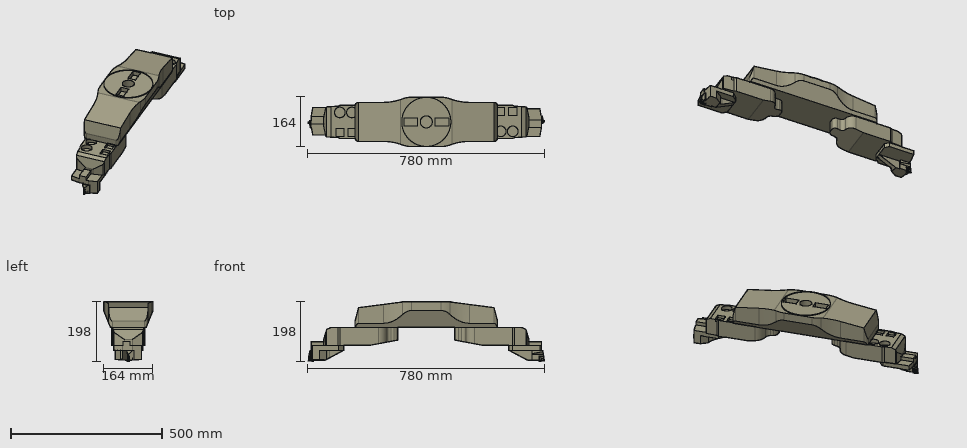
import cadquery as cq
import math


bridge_half_length = 235.5
bridge_top = 83.5
arm_half_width = 65.0
hub_half_width = 82.0
hub_flat_x = 48.0
flare_joint_x = 79.0
flare_x = 142.0
fold_x = 85.0
end_wall_height = 21.0
end_top_x = 224.0
end_top_z = 65.5
corner_radius = 12.0
bevel_foot_half_width = 59.0
bevel_angle = 22

disk_diameter = 162.0
disk_height = 2.0
bore_diameter = 40.0
bore_depth = 31.0
key_slot_inner_x = 29.0
key_slot_length = 45.0
key_slot_width = 27.0
key_slot_depth = 15.5

slider_bottom = -59.0
slider_half_width = 55.0
nose_half_width = 52.0
tongue_half_width = 19.5
tongue_tip_x = 93.5
tongue_corner_radius = 13.0
tongue_root_x = 116.0
shoulder_joint_x = 130.0
shoulder_x = 158.0
step_inner_x = 285.0
step_outer_x = 292.0
nose_corner_x = 329.0
nose_corner_y = 50.0
nose_facet_x = 332.0
nose_facet_y = 47.0
nose_tip_x = 339.0
nose_tip_half_width = 13.0
nose_tip_z = -40.0
chamfer_x = 315.0
chamfer_drop = 6.0
underside_break_x = 185.0
tongue_bottom = -42.0

socket_x = 285.5
socket_pitch = 40.0
round_socket_diameter = 35.0
round_socket_y = -31.0
square_socket_size = 26.5
square_socket_y = 35.0
round_socket_depth = 14.0
square_socket_depth = 9.0

plate_bottom = -76.0
plate_inner_x = 272.0
plate_outer_x = 381.0
plate_front_y = -48.0
plate_back_y = 44.0
plate_corner_x = 375.0
plate_tip_front_y = -19.0
plate_tip_back_y = 14.0
front_chamfer = 12.5
back_chamfer = 17.0
rib_front_y = -18.0
rib_back_y = 6.0
rib_height = 12.5

head_bottom = -109.0
head_bottom_edge = -106.0
head_lean_bottom = -90.5
head_end_x = 388.0
head_inner_x = 352.5
head_front_y = -5.0
head_step_x = 383.0
head_step_y = 19.5
web_front_y = 3.0
web_front_end_x = 349.0
web_wall_x = 329.0
web_wall_y = 26.5
web_fillet_radius = 9.0
web_fillet_turn = 80
web_foot_x = 335.5
relief_inner_z = -86.5
relief_outer_z = -79.5
relief_bottom = -89.0

insert_side = 17.0
insert_thickness = 5.0
insert_tilt = 5
insert_land = 2.0
chip_recess_depth = 1.0
insert_nose_x = 390
insert_nose_z = -111.0
screw_diameter = 5.0
screw_length = 12.5


def along_y(points, y_start, y_end):
    """Prism with an X-Z outline, reaching from y_start to y_end."""
    plane = cq.Workplane("XZ", origin=(0, y_start, 0))
    return plane.polyline(points).close().extrude(y_start - y_end)


def box(x_range, y_range, z_range):
    size = [high - low for low, high in (x_range, y_range, z_range)]
    corner = (x_range[0], y_range[0], z_range[0])
    return cq.Workplane("XY").box(*size, centered=False).translate(corner)


def s_curve(high, low, joint_x):
    """Two tangent arcs that join flat stretches at high and low: convex middle, joint, hollow middle."""
    run = low[0] - high[0]
    drop = high[1] - low[1]
    turn = 2 * math.atan(drop / abs(run))
    along = math.sin(turn / 2) / math.sin(turn)
    sag = (1 - math.cos(turn / 2)) / math.sin(turn)
    convex_run = joint_x - high[0]
    hollow_run = low[0] - joint_x
    convex_mid = (high[0] + convex_run * along, high[1] - abs(convex_run) * sag)
    joint = (joint_x, high[1] - drop * convex_run / run)
    hollow_mid = (low[0] - hollow_run * along, low[1] + abs(hollow_run) * sag)
    return convex_mid, joint, hollow_mid


def bridge_plan():
    """Plan outline: straight arms that flare to the hub through two tangent arcs."""
    convex_mid, joint, hollow_mid = s_curve(
        (hub_flat_x, hub_half_width), (flare_x, arm_half_width), flare_joint_x)
    quarter = (
        cq.Workplane("XY")
        .lineTo(bridge_half_length, 0)
        .lineTo(bridge_half_length, arm_half_width)
        .lineTo(flare_x, arm_half_width)
        .threePointArc(hollow_mid, joint)
        .threePointArc(convex_mid, (hub_flat_x, hub_half_width))
        .lineTo(0, hub_half_width)
        .close()
        .extrude(bridge_top)
    )
    half = quarter.union(quarter.mirror("XZ"))
    return half.union(half.mirror("YZ")).clean()


def make_bridge():
    body = bridge_plan().edges("|Z and (<X or >X)").fillet(corner_radius)
    right_side = [(bridge_half_length, 0), (bridge_half_length, end_wall_height),
                  (end_top_x, end_top_z), (fold_x, bridge_top)]
    left_side = [(-x, z) for x, z in reversed(right_side)]
    body = body.intersect(along_y(right_side + left_side, -hub_half_width, hub_half_width))

    bevel_top_half_width = bevel_foot_half_width + bridge_top * math.tan(math.radians(bevel_angle))
    bevelled = (
        cq.Workplane("YZ", origin=(-bridge_half_length, 0, 0))
        .polyline([(-bevel_foot_half_width, 0), (bevel_foot_half_width, 0),
                   (bevel_top_half_width, bridge_top), (-bevel_top_half_width, bridge_top)])
        .close()
        .extrude(2 * bridge_half_length)
    )
    body = body.intersect(bevelled)

    disk_top = bridge_top + disk_height
    disk = cq.Workplane("XY", origin=(0, 0, bridge_top - disk_height)).circle(disk_diameter / 2)
    body = body.union(disk.extrude(2 * disk_height))
    key_slot_x = key_slot_inner_x + key_slot_length / 2
    slots = (
        cq.Workplane("XY", origin=(0, 0, disk_top))
        .pushPoints([(-key_slot_x, 0), (key_slot_x, 0)])
        .rect(key_slot_length, key_slot_width)
        .extrude(-key_slot_depth)
    )
    bore = cq.Workplane("XY", origin=(0, 0, disk_top)).circle(bore_diameter / 2).extrude(-bore_depth)
    return body.cut(slots).cut(bore)


def slider_plan():
    """Plan of the slider: tongue with rounded corners, rounded shoulders, straight body and faceted nose."""
    shoulder_mid, joint, root_mid = s_curve(
        (shoulder_x, slider_half_width), (tongue_root_x, tongue_half_width), shoulder_joint_x)
    half = (
        cq.Workplane("XY", origin=(0, 0, slider_bottom))
        .moveTo(nose_tip_x, 0)
        .lineTo(nose_tip_x, nose_tip_half_width)
        .lineTo(nose_facet_x, nose_facet_y)
        .lineTo(nose_corner_x, nose_corner_y)
        .lineTo(step_outer_x, nose_half_width)
        .lineTo(step_inner_x, slider_half_width)
        .lineTo(shoulder_x, slider_half_width)
        .threePointArc(shoulder_mid, joint)
        .threePointArc(root_mid, (tongue_root_x, tongue_half_width))
        .lineTo(tongue_tip_x, tongue_half_width)
        .lineTo(tongue_tip_x, 0)
        .close()
        .extrude(-slider_bottom)
    )
    whole = half.union(half.mirror("XZ")).clean()
    return whole.edges("|Z and <X").fillet(tongue_corner_radius)


def make_slider():
    side = [(tongue_tip_x, 0), (chamfer_x, 0), (nose_corner_x, -chamfer_drop), (nose_tip_x, nose_tip_z),
            (nose_tip_x, slider_bottom), (underside_break_x, slider_bottom), (tongue_tip_x, tongue_bottom)]
    body = slider_plan().intersect(along_y(side, -slider_half_width, slider_half_width))
    places = [socket_x, socket_x - socket_pitch]
    round_sockets = (
        cq.Workplane("XY")
        .pushPoints([(x, round_socket_y) for x in places])
        .circle(round_socket_diameter / 2)
        .extrude(-round_socket_depth)
    )
    square_sockets = (
        cq.Workplane("XY")
        .pushPoints([(x, square_socket_y) for x in places])
        .rect(square_socket_size, square_socket_size)
        .extrude(-square_socket_depth)
    )
    body = body.cut(round_sockets).cut(square_sockets)
    return body.cut(make_rib())


def make_rib():
    """Guide rib on top of the cartridge, which runs in a groove in the slider."""
    return box((plate_inner_x, plate_outer_x), (rib_front_y, rib_back_y),
               (slider_bottom, slider_bottom + rib_height))


def make_plate():
    plan = [(plate_inner_x + front_chamfer, plate_front_y), (plate_corner_x, plate_front_y),
            (plate_outer_x, plate_tip_front_y), (plate_outer_x, plate_tip_back_y),
            (plate_corner_x, plate_back_y), (plate_inner_x + back_chamfer, plate_back_y),
            (plate_inner_x, plate_back_y - back_chamfer), (plate_inner_x, plate_front_y + front_chamfer)]
    outline = cq.Workplane("XY", origin=(0, 0, plate_bottom)).polyline(plan).close()
    return outline.extrude(slider_bottom - plate_bottom)


def make_head():
    """Cutter head and the web that braces it, below the plate."""
    end_slope = (plate_outer_x - plate_corner_x) / (plate_back_y - plate_tip_back_y)
    step_x = plate_corner_x + end_slope * (plate_back_y - head_step_y)
    turn = math.radians(web_fillet_turn)
    fillet_centre = (web_wall_x - web_fillet_radius * math.sin(turn),
                     web_wall_y + web_fillet_radius * math.cos(turn))
    fillet_mid = (fillet_centre[0] + web_fillet_radius * math.sin(turn / 2),
                  fillet_centre[1] - web_fillet_radius * math.cos(turn / 2))
    web_back_y = fillet_centre[1] - web_fillet_radius
    head = (
        cq.Workplane("XY", origin=(0, 0, head_bottom))
        .moveTo(plate_inner_x, web_front_y)
        .lineTo(web_front_end_x, web_front_y)
        .lineTo(web_front_end_x, head_front_y)
        .lineTo(head_end_x, head_front_y)
        .lineTo(head_end_x, 0)
        .lineTo(head_step_x, head_step_y)
        .lineTo(step_x, head_step_y)
        .lineTo(plate_corner_x, plate_back_y)
        .lineTo(head_inner_x, plate_back_y)
        .lineTo(web_wall_x, web_wall_y)
        .threePointArc(fillet_mid, (fillet_centre[0], web_back_y))
        .lineTo(plate_inner_x, web_back_y)
        .close()
        .extrude(plate_bottom - head_bottom)
    )
    lean_top_x = plate_outer_x + (head_end_x - plate_outer_x) * (
        (slider_bottom - plate_bottom) / (slider_bottom - head_lean_bottom))
    side = [(plate_inner_x, plate_bottom), (lean_top_x, plate_bottom), (head_end_x, head_lean_bottom),
            (head_end_x, head_bottom), (web_foot_x, head_bottom)]
    head = head.intersect(along_y(side, head_front_y, plate_back_y))
    return head.cut(bottom_relief()).cut(insert_relief())


def bottom_relief():
    """Wedge that lifts the head underside toward the back."""
    return (
        cq.Workplane("YZ", origin=(plate_inner_x, 0, 0))
        .polyline([(0, head_bottom), (plate_back_y, head_bottom), (plate_back_y, head_bottom_edge)])
        .close()
        .extrude(insert_nose_x - plate_inner_x)
    )


def insert_relief():
    """Clearance in front of the rake face, with a sloping roof that falls inward."""
    def section(x, roof_z):
        return (
            cq.Workplane("YZ", origin=(x, 0, 0))
            .polyline([(head_front_y, head_bottom), (0, head_bottom), (0, relief_bottom),
                       (head_front_y, roof_z)])
            .close().wire().val()
        )
    sections = [section(web_front_end_x, relief_inner_z), section(insert_nose_x, relief_outer_z)]
    return cq.Workplane(cq.Solid.makeLoft(sections, True))


def tilted(angle, length):
    """X and Z parts of a length at an angle in degrees from +X toward +Z."""
    return length * math.cos(math.radians(angle)), length * math.sin(math.radians(angle))


def insert_centre():
    """X and Z of the insert centre, half a diagonal from the nose."""
    along_x, along_z = tilted(135 + insert_tilt, insert_side * math.sqrt(0.5))
    return insert_nose_x + along_x, insert_nose_z + along_z


def insert_block(side, thickness):
    """Tilted square block that reaches from the rake plane, Y = 0, to Y = thickness."""
    plane = cq.Workplane("XZ").center(*insert_centre())
    return plane.transformed(rotate=(0, 0, insert_tilt)).rect(side, side).extrude(-thickness)


def make_screw():
    plane = cq.Workplane("XZ", origin=(0, chip_recess_depth, 0)).center(*insert_centre())
    return plane.circle(screw_diameter / 2).extrude(-screw_length)


def make_insert():
    chip_recess = insert_block(insert_side - 2 * insert_land, chip_recess_depth)
    return insert_block(insert_side, insert_thickness).cut(chip_recess).cut(make_screw())


def make_cartridge():
    body = make_plate().union(make_rib()).union(make_head())
    return body.cut(insert_block(insert_side, insert_thickness)).cut(make_screw())


def both_ends(body):
    """The body at the +X end and its copy turned half a turn about Z."""
    return [body.rotate((0, 0, 0), (0, 0, 1), turn).val() for turn in (0, 180)]


bridge = make_bridge()
sliders = both_ends(make_slider())
cartridges = both_ends(make_cartridge())
inserts = both_ends(make_insert())
screws = both_ends(make_screw())

result = cq.Compound.makeCompound([bridge.val(), *sliders, *cartridges, *inserts, *screws])